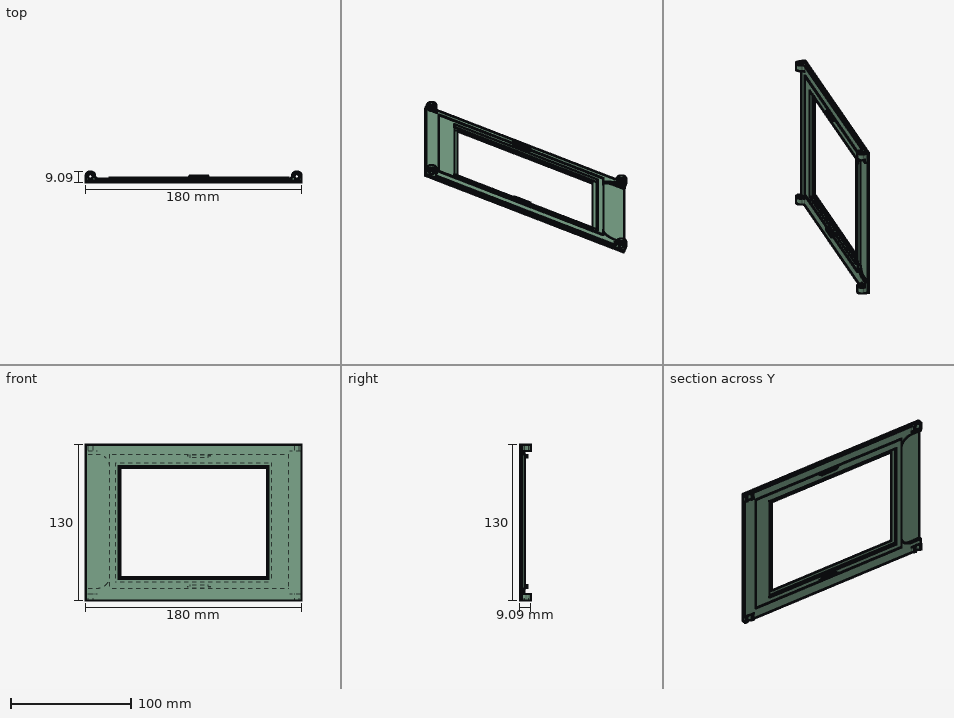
import cadquery as cq


width = 180.0
height = 130.0
bezel_thickness = 1.5
frame_back = 3.5

window_width = 125.0
window_height = 94.0

sight_width = window_width - 2 * bezel_thickness
sight_height = window_height - 2 * bezel_thickness
opening_clearance = 4.0
opening_width = sight_width + 2 * opening_clearance
opening_height = sight_height + 2 * opening_clearance

rim_center_x = 4.4
rim_center_z = 1.0
rim_width = 149.0
rim_height = 111.6
rim_back = 4.0

relief_corner_radius = 10.0

ear_radius = 4.0
ear_hole_diameter = 4.0
ear_length = 5.5
ear_fillet = 1.5
overall_depth = 9.09
ear_center_x = width / 2 - ear_radius
ear_center_y = overall_depth - ear_radius

rib_back = 6.0
rib_length = 15.0
rib_thickness = 1.1
rib_end_radius = rib_back - rim_back
rib_outer_offset = 55.4


def block(x_size, z_size, y_front, y_back, x_center=0.0, z_center=0.0):
    """Rectangular block lying parallel to the plate."""
    return cq.Workplane("XY").box(x_size, y_back - y_front, z_size).translate(
        (x_center, (y_front + y_back) / 2, z_center)
    )


def make_bezel():
    plate = block(width, height, 0.0, bezel_thickness)
    window = (
        cq.Workplane("XZ")
        .rect(window_width, window_height)
        .workplane(offset=-bezel_thickness)
        .rect(sight_width, sight_height)
        .loft(combine=True)
    )
    return plate.cut(window)


def make_side_relief():
    rim_left = rim_center_x - rim_width / 2
    depth = width / 2 + rim_left
    relief = block(
        depth, rim_height, bezel_thickness, rim_back, rim_left - depth / 2, rim_center_z
    )
    return relief.edges("|Y and >X").fillet(relief_corner_radius)


def make_ear(side, z_bottom):
    """Ear at the side = -1 or +1 edge, blended into the back face."""
    edge_x = side * width / 2
    center_x = side * ear_center_x
    inner_x = center_x - side * ear_radius
    fillet_end_x = inner_x - side * ear_fillet
    return (
        cq.Workplane("XY", origin=(0, 0, z_bottom))
        .moveTo(edge_x, bezel_thickness)
        .lineTo(edge_x, ear_center_y)
        .threePointArc((center_x, overall_depth), (inner_x, ear_center_y))
        .lineTo(inner_x, frame_back + ear_fillet)
        .radiusArc((fillet_end_x, frame_back), side * ear_fillet)
        .lineTo(fillet_end_x, bezel_thickness)
        .close()
        .extrude(ear_length)
    )


def make_ear_hole(side, z_bottom):
    return (
        cq.Workplane("XY", origin=(side * ear_center_x, ear_center_y, z_bottom))
        .circle(ear_hole_diameter / 2)
        .extrude(ear_length)
    )


def make_rib(direction):
    """Double rib: the outer half has filleted ends, the inner half square ones."""
    half = rib_length / 2
    foot = half + rib_end_radius
    outer_z = rib_outer_offset * direction
    outer = (
        cq.Workplane("XY")
        .moveTo(-foot, frame_back)
        .lineTo(-foot, rim_back)
        .radiusArc((-half, rib_back), -rib_end_radius)
        .lineTo(half, rib_back)
        .radiusArc((foot, rim_back), -rib_end_radius)
        .lineTo(foot, frame_back)
        .close()
        .extrude(-direction * rib_thickness)
        .translate((rim_center_x, 0, rim_center_z + outer_z))
    )
    inner_z = outer_z - direction * 1.5 * rib_thickness
    inner = block(
        rib_length, rib_thickness, frame_back, rib_back, rim_center_x, rim_center_z + inner_z
    )
    return outer.union(inner)


def make_frame():
    frame = block(width, height, bezel_thickness, frame_back)
    rim = block(rim_width, rim_height, bezel_thickness, rim_back, rim_center_x, rim_center_z)
    frame = frame.union(rim).cut(make_side_relief())
    frame = frame.cut(block(opening_width, opening_height, bezel_thickness, rim_back))
    for side in (-1, 1):
        for z_bottom in (-height / 2, height / 2 - ear_length):
            frame = frame.union(make_ear(side, z_bottom))
            frame = frame.cut(make_ear_hole(side, z_bottom))
    for direction in (-1, 1):
        frame = frame.union(make_rib(direction))
    return frame


bezel = make_bezel()
frame = make_frame()
result = cq.Compound.makeCompound([bezel.val(), frame.val()])